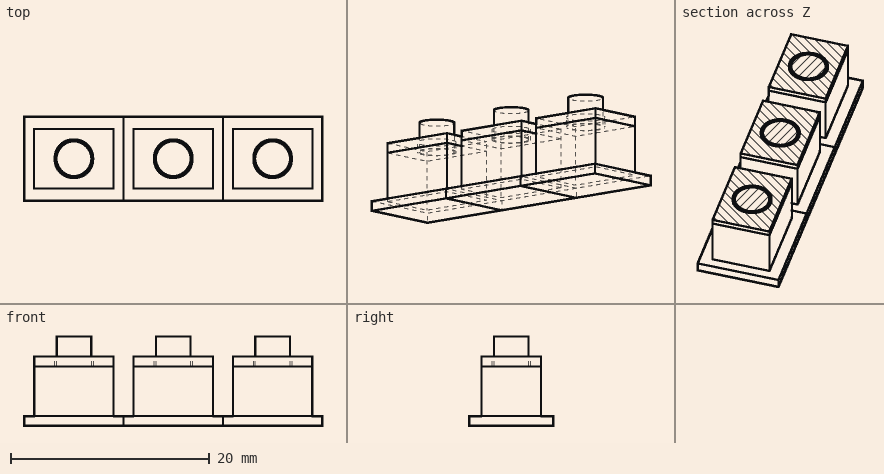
import cadquery as cq

unit_count = 3
row_length = 30.0
unit_pitch = row_length / unit_count

plate_width = 8.5
plate_thickness = 1.0
block_length = 8.0
block_width = 6.0
block_top = 6.0
post_diameter = 3.5
post_top = 9.0

cover_thickness = plate_thickness
cover_hole_diameter = 3.9


def make_base(center_x):
    """Foot plate carrying a block with a round post on top, as one solid."""
    plate = cq.Workplane("XY").box(unit_pitch, plate_width, plate_thickness, centered=(True, True, False))
    block = cq.Workplane("XY").box(block_length, block_width, block_top, centered=(True, True, False))
    post = (
        cq.Workplane("XY")
        .workplane(offset=block_top)
        .circle(post_diameter / 2)
        .extrude(post_top - block_top)
    )
    return plate.union(block).union(post).translate((center_x, 0, 0))


def make_cover(center_x):
    """Lid flush with the block sides, open around the post."""
    return (
        cq.Workplane("XY")
        .workplane(offset=block_top)
        .rect(block_length, block_width)
        .circle(cover_hole_diameter / 2)
        .extrude(cover_thickness)
        .translate((center_x, 0, 0))
    )


bodies = []
for index in range(unit_count):
    unit_x = (index - (unit_count - 1) / 2) * unit_pitch
    base = make_base(unit_x)
    cover = make_cover(unit_x)
    bodies.extend([base.val(), cover.val()])

result = cq.Compound.makeCompound(bodies)